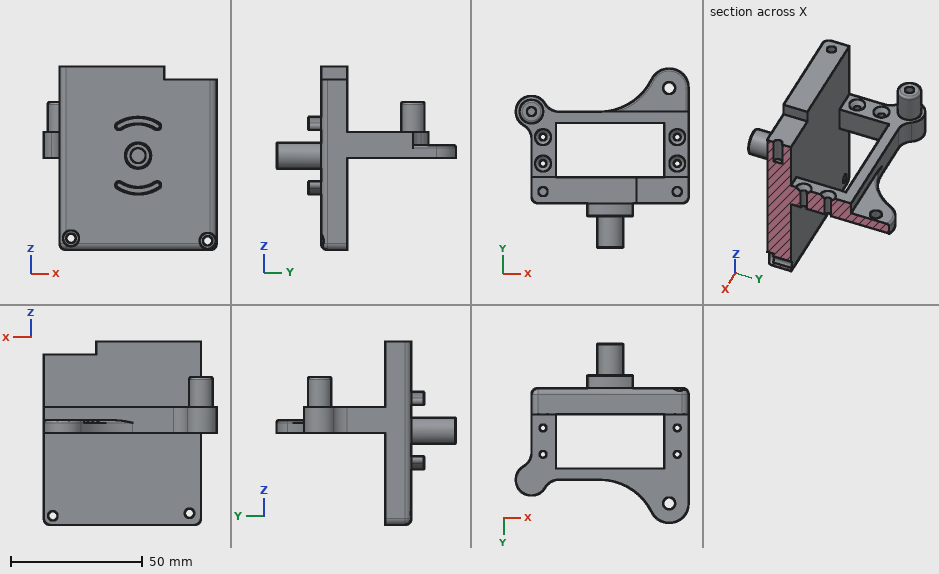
import cadquery as cq
import math


plate_width = 60.0
plate_thickness = 10.0
plate_height = 70.0
plate_radius = 2.5
step_x = 40.0
step_depth = 5.0

screw_diameter = 3.5
screw_head_diameter = 6.1
screw_head_depth = 2.5
screw_positions = [(4.4, 4.5), (56.5, 3.5)]
top_hole_inset = 4.4
top_hole_y = 4.5
top_hole_depth = 10.0

spindle_x = plate_width / 2
spindle_z = 36.0
spindle_diameter = 10.0
spindle_bore = 5.75
spindle_length = 17.0
spindle_edge = 0.4
drive_radius = 13.4
drive_width = 2.95
drive_half_angle = 33
drive_height = 5.0
drive_edge = 0.4

frame_back = 35.0
frame_bottom = 35.0
frame_thickness = 10.0
frame_top = frame_bottom + frame_thickness
window_side = 9.45
window_back = 30.6
mount_inset = 4.4
mount_rows = [15.2, 25.3]
mount_diameter = 2.5
mount_sink_diameter = 6.1
mount_sink_angle = 90

boss_radius = 6.0
boss_blend = 6.0
pin_diameter = 9.0
pin_bore = 3.5
pin_height = 11.5
pin_edge = 1.0

ear_radius = 7.5
ear_x = plate_width - ear_radius
ear_y = 43.95
ear_thickness = 5.0
ear_hole = 4.5
ear_blend = 22.0
ear_edge = 1.0


def point_toward(start, end, distance):
    """Point at the given distance from start on the line to end."""
    span = math.dist(start, end)
    return tuple(a + (b - a) * distance / span for a, b in zip(start, end))


def make_plate():
    plate = cq.Workplane("XY").box(plate_width, plate_thickness, plate_height, centered=False)
    plate = plate.edges("|Y and <Z").fillet(plate_radius)
    front_edges = plate.faces("<Y").edges("not >Z")
    plate = front_edges.fillet(plate_radius)
    step = cq.Workplane("XY").box(
        plate_width - step_x, plate_thickness, step_depth, centered=False
    )
    return plate.cut(step.translate((step_x, 0, plate_height - step_depth)))


def cut_plate_holes(body):
    for x, z in screw_positions:
        front = cq.Workplane("XZ").center(x, z)
        body = body.cut(front.circle(screw_diameter / 2).extrude(-plate_thickness))
        body = body.cut(front.circle(screw_head_diameter / 2).extrude(-screw_head_depth))
    top_holes = [
        (top_hole_inset, plate_height),
        (plate_width - top_hole_inset, plate_height - step_depth),
    ]
    for x, top in top_holes:
        hole = cq.Workplane("XY", origin=(x, top_hole_y, top)).circle(screw_diameter / 2)
        body = body.cut(hole.extrude(-top_hole_depth))
    return body


def make_spindle():
    spindle = (
        cq.Workplane("XZ", origin=(spindle_x, 0, spindle_z))
        .circle(spindle_diameter / 2)
        .extrude(spindle_length)
    )
    spindle = spindle.faces("<Y").edges().chamfer(spindle_edge)
    return spindle.faces("<Y").workplane().circle(spindle_bore / 2).cutBlind(-spindle_length)


def make_drive_lug(middle_angle):
    """Round-ended arc around the spindle axis, centred on middle_angle."""

    def polar(radius, offset):
        angle = math.radians(middle_angle + offset)
        return radius * math.cos(angle), radius * math.sin(angle)

    inner = drive_radius - drive_width / 2
    outer = drive_radius + drive_width / 2
    cap_angle = drive_half_angle + math.degrees(drive_width / 2 / drive_radius)
    lug = (
        cq.Workplane("XZ", origin=(spindle_x, 0, spindle_z))
        .moveTo(*polar(outer, -drive_half_angle))
        .threePointArc(polar(outer, 0), polar(outer, drive_half_angle))
        .threePointArc(polar(drive_radius, cap_angle), polar(inner, drive_half_angle))
        .threePointArc(polar(inner, 0), polar(inner, -drive_half_angle))
        .threePointArc(polar(drive_radius, -cap_angle), polar(outer, -drive_half_angle))
        .close()
        .extrude(drive_height)
    )
    return lug.faces("<Y").edges().chamfer(drive_edge)


def make_frame():
    reach = math.sqrt((boss_radius + boss_blend) ** 2 - boss_blend**2)
    corner = (0, frame_back)
    side_center = (-boss_blend, frame_back - reach)
    back_center = (reach, frame_back + boss_blend)
    side_touch = point_toward(corner, side_center, boss_radius)
    back_touch = point_toward(corner, back_center, boss_radius)
    boss_far = point_toward(corner, (-0.7, frame_back + 0.7), boss_radius)
    side_middle = point_toward(side_center, (0, frame_back - boss_radius), boss_blend)
    back_middle = point_toward(back_center, (boss_radius, frame_back), boss_blend)
    frame = (
        cq.Workplane("XY", origin=(0, 0, frame_bottom))
        .moveTo(0, plate_thickness)
        .lineTo(0, side_center[1])
        .threePointArc(side_middle, side_touch)
        .threePointArc(boss_far, back_touch)
        .threePointArc(back_middle, (reach, frame_back))
        .lineTo(plate_width, frame_back)
        .lineTo(plate_width, plate_thickness)
        .close()
        .extrude(frame_thickness)
    )
    window = cq.Workplane("XY").box(
        plate_width - 2 * window_side,
        window_back - plate_thickness,
        frame_thickness,
        centered=False,
    )
    frame = frame.cut(window.translate((window_side, plate_thickness, frame_bottom)))
    mounts = [(x, y) for x in (mount_inset, plate_width - mount_inset) for y in mount_rows]
    return (
        cq.Workplane("XY", origin=(0, 0, frame_top))
        .add(frame)
        .pushPoints(mounts)
        .cskHole(mount_diameter, mount_sink_diameter, mount_sink_angle)
    )


def make_pin():
    pin = (
        cq.Workplane("XY", origin=(0, frame_back, frame_top))
        .circle(pin_diameter / 2)
        .extrude(pin_height)
    )
    pin = pin.faces(">Z").edges().fillet(pin_edge)
    return pin.faces(">Z").workplane().circle(pin_bore / 2).cutBlind(-pin_height)


def make_ear():
    rise = ear_y - frame_back
    reach = math.sqrt((ear_radius + ear_blend) ** 2 - (ear_blend - rise) ** 2)
    center = (ear_x, ear_y)
    blend_center = (ear_x - reach, frame_back + ear_blend)
    touch = point_toward(center, blend_center, ear_radius)
    blend_start = (blend_center[0], frame_back)
    chord_middle = ((touch[0] + blend_start[0]) / 2, (touch[1] + blend_start[1]) / 2)
    blend_middle = point_toward(blend_center, chord_middle, ear_blend)
    root = window_back
    ear = (
        cq.Workplane("XY", origin=(0, 0, frame_bottom))
        .moveTo(blend_start[0], root)
        .lineTo(*blend_start)
        .threePointArc(blend_middle, touch)
        .threePointArc((ear_x, ear_y + ear_radius), (plate_width, ear_y))
        .lineTo(plate_width, root)
        .close()
        .extrude(ear_thickness)
    )
    rim = ear.faces(">Z").edges("not <Y").edges("not <X")
    ear = rim.fillet(ear_edge)
    return ear.faces(">Z").workplane(origin=(ear_x, ear_y, 0)).hole(ear_hole)


result = cut_plate_holes(make_plate())
result = result.union(make_frame()).union(make_ear()).union(make_pin()).union(make_spindle())
for lug_angle in (90, 270):
    result = result.union(make_drive_lug(lug_angle))